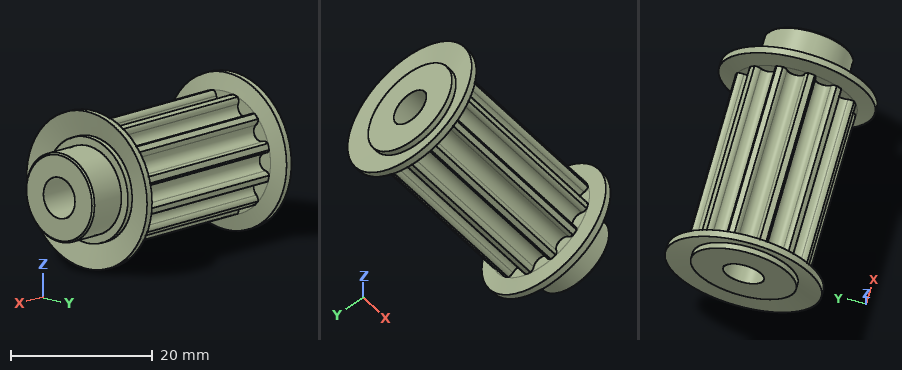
import cadquery as cq
import math

total_length = 36.2
flanged_length = 30.4
bore_radius = 6.0 / 2
hub_radius = 13.0 / 2
hub_chamfer = 0.25

flange_radius = 23.0 / 2
flange_rim_width = 1.05
flange_cone_angle = 15.0
flange_seat_radius = 15.5 / 2
flange_seat_recess = 0.1

tooth_count = 12
tooth_radius = 8.98
groove_depth = 2.03
groove_radius = 1.3
groove_half_angle = 12.0
groove_flank_angle = 10.0
cutter_clearance = 0.72

cone_slope = math.tan(math.radians(flange_cone_angle))
cone_depth = (flange_radius - tooth_radius) * cone_slope
dish_depth = (flange_radius - flange_seat_radius) * cone_slope
flange_width = flange_rim_width + cone_depth
hub_start = flanged_length - flange_seat_recess
toothed_length = flanged_length - 2 * flange_width


def revolve_about_x(points):
    """Revolve a closed outline of (x, radius) points about the X axis."""
    return cq.Workplane("XY").polyline(points).close().revolve(360, (0, 0, 0), (1, 0, 0))


def cylinder_along_x(radius, start, length):
    return cq.Workplane("YZ", origin=(start, 0, 0)).circle(radius).extrude(length)


def make_flange():
    """Flange at the X = 0 end, with a flat seat inside the dished outer face."""
    return revolve_about_x([
        (flange_seat_recess, 0),
        (flange_seat_recess, flange_seat_radius),
        (dish_depth, flange_seat_radius),
        (0, flange_radius),
        (flange_rim_width, flange_radius),
        (flange_width, tooth_radius),
        (flange_width, 0),
    ])


def make_groove_cutter():
    """Belt groove centred on +Y: a concave floor arc running into convex tooth tips."""
    floor_center = tooth_radius - groove_depth + groove_radius
    flank = math.radians(groove_flank_angle)
    flank_y = floor_center - groove_radius * math.sin(flank)
    flank_z = groove_radius * math.cos(flank)
    half = math.radians(groove_half_angle)
    land_y = tooth_radius * math.cos(half)
    land_z = tooth_radius * math.sin(half)
    outer_y = tooth_radius + cutter_clearance

    run_y = land_y - flank_y
    run_z = land_z - flank_z
    normal_offset = run_z * math.cos(flank) - run_y * math.sin(flank)
    tip_radius = (run_y ** 2 + run_z ** 2) / (2 * normal_offset)
    tip_center_y = flank_y - tip_radius * math.sin(flank)
    tip_center_z = flank_z + tip_radius * math.cos(flank)
    chord_y = (flank_y + land_y) / 2 - tip_center_y
    chord_z = (flank_z + land_z) / 2 - tip_center_z
    chord_distance = math.hypot(chord_y, chord_z)
    tip_mid_y = tip_center_y + tip_radius * chord_y / chord_distance
    tip_mid_z = tip_center_z + tip_radius * chord_z / chord_distance

    return (
        cq.Workplane("YZ", origin=(flange_width, 0, 0))
        .moveTo(outer_y, -land_z)
        .lineTo(land_y, -land_z)
        .threePointArc((tip_mid_y, -tip_mid_z), (flank_y, -flank_z))
        .threePointArc((tooth_radius - groove_depth, 0), (flank_y, flank_z))
        .threePointArc((tip_mid_y, tip_mid_z), (land_y, land_z))
        .lineTo(outer_y, land_z)
        .close()
        .extrude(toothed_length)
    )


def make_toothed_body():
    body = cylinder_along_x(tooth_radius, flange_width, toothed_length)
    cutter = make_groove_cutter()
    for index in range(tooth_count):
        body = body.cut(cutter.rotate((0, 0, 0), (1, 0, 0), index * 360 / tooth_count))
    return body


def make_hub():
    hub = cylinder_along_x(hub_radius, hub_start, total_length - hub_start)
    return hub.faces(">X").edges().chamfer(hub_chamfer)


near_flange = make_flange()
far_flange = near_flange.mirror("YZ", (flanged_length / 2, 0, 0))
bore = cylinder_along_x(bore_radius, 0, total_length)

result = make_toothed_body().union(near_flange).union(far_flange).union(make_hub()).cut(bore)